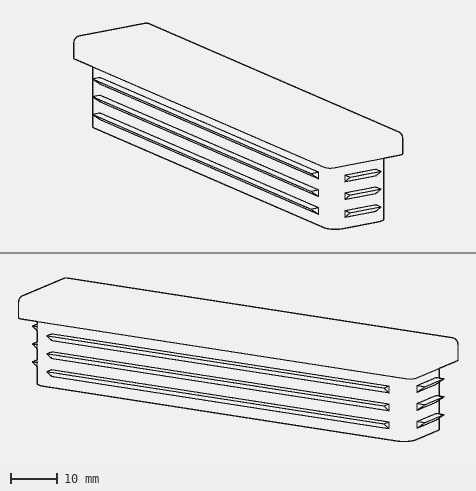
import cadquery as cq

cap_length = 100.0
cap_width = 20.0
cap_height = 5.0
cap_radius = 1.5

total_height = 20.0
body_inset = 2.5
body_corner_radius = 3.0
body_length = cap_length - 2 * body_inset
body_width = cap_width - 2 * body_inset
body_height = total_height - cap_height

barb_reach = 2.0
barb_height = 1.5
barb_top_levels = (4.0, 8.0, 12.0)
side_barb_length = 85.0
end_barb_length = 8.0
barb_root = 0.5


def make_cap():
    """Cap with rounded vertical corners and a rounded top rim."""
    block = cq.Workplane("XY").box(cap_length, cap_width, cap_height, centered=(True, True, False))
    rounded = block.edges("|Z or >Z").fillet(cap_radius)
    return rounded.translate((0, 0, body_height))


def make_body():
    """Solid plug with rounded vertical corners."""
    block = cq.Workplane("XY").box(body_length, body_width, body_height, centered=(True, True, False))
    return block.edges("|Z").fillet(body_corner_radius)


def make_barb(face_distance, length, top_level, angle):
    """Barb on the body face at face_distance from the Z axis, turned about Z from the +X side."""
    root = face_distance - barb_root
    profile = [
        (root, top_level),
        (face_distance + barb_reach, top_level),
        (face_distance, top_level - barb_height),
        (root, top_level - barb_height),
    ]
    barb = cq.Workplane("XZ").polyline(profile).close().extrude(length / 2, both=True)
    return barb.rotate((0, 0, 0), (0, 0, 1), angle)


result = make_body().union(make_cap())
for level in barb_top_levels:
    for end_angle in (0, 180):
        result = result.union(make_barb(body_length / 2, end_barb_length, level, end_angle))
    for side_angle in (90, 270):
        result = result.union(make_barb(body_width / 2, side_barb_length, level, side_angle))